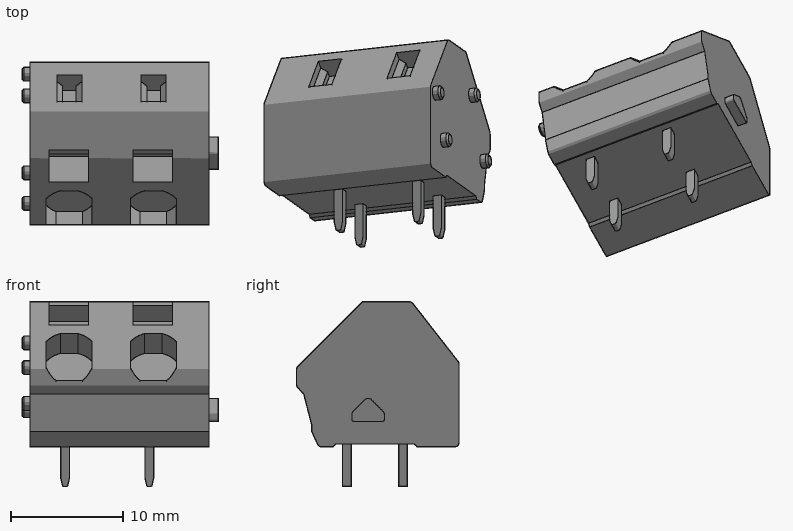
import cadquery as cq
import math


housing_length = 15.96
housing_depth = 14.5
housing_height = 12.95
pole_pitch = 7.5
pole_count = 2

roof_front_y = 5.89
roof_back_y = 10.25
roof_angle = math.radians(45)
back_slope_angle = math.radians(52)
nose_top_z = housing_height - roof_front_y * math.tan(roof_angle)
back_top_z = housing_height - (housing_depth - roof_back_y) * math.tan(back_slope_angle)
nose_bottom_z = 5.42
nose_undercut = (0.65, 4.70)
front_step_y = 1.36
front_step_top_z = 1.95
front_step_bottom_z = 1.38
front_foot_y = 1.99
recess_depth = 0.25
recess_front_y = 3.26
recess_back_y = 10.76
edge_radius = 0.5
foot_radius = 0.4
roof_front_radius = 0.2

tool_slot_x = 3.5
tool_slot_width = 4.1
tool_slot_length = 5.1
tool_slot_depth = 2.5
tool_slot_from_ridge = 4.04
tool_slot_end_radius = 2.4
tool_slot_upper_flat = 1.56
tool_slot_lower_flat = 2.38

window_x = 3.45
window_width = 3.5
window_lower_edge_y = 3.82
window_floor_start = (6.11, 9.53)
window_floor_rise = 1.66
window_wall_run = 1.43
window_lead_in = 0.32

wire_entry_x = 3.52
wire_entry_width = 2.22
wire_entry_length = 3.83
wire_entry_from_ridge = 1.2
wire_throat_width = 1.2
wire_mouth_depth = 0.74
wire_funnel_depth = 0.5
wire_entry_depth = 1.76

peg_diameter = 1.25
peg_height = 0.7
peg_chamfer = 0.17
peg_centres = [(1.91, 3.88), (4.64, 9.26), (11.50, 3.23), (13.43, 7.07)]

key_height = 0.84
key_centre_y = 6.39
key_width = 2.9
key_bottom_z = 2.26
key_shoulder_z = 3.05
key_bottom_radius = 0.2
key_roof_radius = 0.4

pin_size = 0.8
pin_x = 3.14
pin_rows_y = (4.5, 9.5)
pin_tip_z = -3.53
pin_taper_height = 0.76
pin_tip_width = 0.44
pin_tip_radius = 0.15

cut_clearance = 2.0


def pole_positions(first_x):
    return [first_x + pole * pole_pitch for pole in range(pole_count)]


def extrude_section(points, start_x, length):
    """Prism along +X with the given (Y, Z) outline."""
    return cq.Workplane("YZ", origin=(start_x, 0, 0)).polyline(points).close().extrude(length)


def round_edge(body, x, y, z, radius):
    """Fillet the edge along X whose midpoint lies nearest (x, y, z)."""
    return body.edges("|X").edges(cq.NearestToPointSelector((x, y, z))).fillet(radius)


def make_shell():
    section = [
        (roof_front_y, housing_height),
        (roof_back_y, housing_height),
        (housing_depth, back_top_z),
        (housing_depth, 0),
        (recess_back_y, 0),
        (recess_back_y - recess_depth, recess_depth),
        (recess_front_y + recess_depth, recess_depth),
        (recess_front_y, 0),
        (front_foot_y, 0),
        (front_step_y, front_step_bottom_z),
        (front_step_y, front_step_top_z),
        nose_undercut,
        (0, nose_bottom_z),
        (0, nose_top_z),
    ]
    rounded_corners = [
        (roof_front_y, housing_height, roof_front_radius),
        (roof_back_y, housing_height, edge_radius),
        (housing_depth, back_top_z, edge_radius),
        (housing_depth, 0, foot_radius),
        (front_foot_y, 0, foot_radius),
        (0, nose_bottom_z, foot_radius),
        (0, nose_top_z, edge_radius),
    ]
    shell = extrude_section(section, 0, housing_length)
    for y, z, radius in rounded_corners:
        shell = round_edge(shell, housing_length / 2, y, z, radius)
    return shell


def end_arc_height(half_flat):
    """Distance along a tool slot from its end flat to where the end arc meets the side."""
    half_width = tool_slot_width / 2
    flat_offset = math.sqrt(tool_slot_end_radius**2 - half_flat**2)
    side_offset = math.sqrt(tool_slot_end_radius**2 - half_width**2)
    return flat_offset - side_offset


def make_tool_slot(x):
    roof = cq.Plane(
        origin=(x, roof_front_y, housing_height),
        xDir=(1, 0, 0),
        normal=(0, -math.sin(roof_angle), math.cos(roof_angle)),
    )
    side = tool_slot_width / 2
    top = -tool_slot_from_ridge
    bottom = top - tool_slot_length
    upper_flat = tool_slot_upper_flat / 2
    lower_flat = tool_slot_lower_flat / 2
    upper_shoulder = top - end_arc_height(upper_flat)
    lower_shoulder = bottom + end_arc_height(lower_flat)
    radius = tool_slot_end_radius
    return (
        cq.Workplane(roof)
        .workplane(offset=-tool_slot_depth)
        .moveTo(side, lower_shoulder)
        .lineTo(side, upper_shoulder)
        .radiusArc((upper_flat, top), -radius)
        .lineTo(-upper_flat, top)
        .radiusArc((-side, upper_shoulder), -radius)
        .lineTo(-side, lower_shoulder)
        .radiusArc((-lower_flat, bottom), -radius)
        .lineTo(lower_flat, bottom)
        .radiusArc((side, lower_shoulder), -radius)
        .close()
        .extrude(tool_slot_depth + cut_clearance)
    )


def make_window(x):
    floor_y, floor_z = window_floor_start
    floor_end = (floor_y + window_floor_rise, floor_z + window_floor_rise)
    wall_top = (floor_end[0] - window_wall_run, floor_end[1] + window_wall_run)
    lead_in_top = (wall_top[0] + window_lead_in, wall_top[1] + window_lead_in)
    lower_edge = (window_lower_edge_y, nose_top_z + window_lower_edge_y * math.tan(roof_angle))
    section = [
        lower_edge,
        window_floor_start,
        floor_end,
        wall_top,
        lead_in_top,
        (lead_in_top[0], lead_in_top[1] + cut_clearance),
        (lower_edge[0], lead_in_top[1] + cut_clearance),
    ]
    return extrude_section(section, x - window_width / 2, window_width)


def make_wire_entry(x):
    slope_down = (0, math.cos(back_slope_angle), -math.sin(back_slope_angle))
    funnel_plane = cq.Plane(
        origin=(x, roof_back_y, housing_height), xDir=(1, 0, 0), normal=slope_down
    )
    mouth = wire_entry_width / 2
    throat = wire_throat_width / 2
    throat_depth = wire_mouth_depth + wire_funnel_depth
    right_side = [
        (mouth, -cut_clearance),
        (mouth, wire_mouth_depth),
        (throat, throat_depth),
        (throat, wire_entry_depth),
    ]
    left_side = [(-half_width, depth) for half_width, depth in reversed(right_side)]
    return (
        cq.Workplane(funnel_plane)
        .workplane(offset=wire_entry_from_ridge)
        .polyline(right_side + left_side)
        .close()
        .extrude(wire_entry_length)
    )


def make_pegs():
    return (
        cq.Workplane("YZ")
        .pushPoints(peg_centres)
        .circle(peg_diameter / 2)
        .extrude(-peg_height)
        .faces("<X")
        .chamfer(peg_chamfer)
    )


def make_key():
    """Gabled key with a 45 degree roof on either side of its crest."""
    half_width = key_width / 2
    front_y = key_centre_y - half_width
    back_y = key_centre_y + half_width
    rounded_corners = [
        (front_y, key_bottom_z, key_bottom_radius),
        (back_y, key_bottom_z, key_bottom_radius),
        (back_y, key_shoulder_z, key_roof_radius),
        (key_centre_y, key_shoulder_z + half_width, key_roof_radius),
        (front_y, key_shoulder_z, key_roof_radius),
    ]
    section = [(y, z) for y, z, _ in rounded_corners]
    key = extrude_section(section, housing_length, key_height)
    for y, z, radius in rounded_corners:
        key = round_edge(key, housing_length + key_height / 2, y, z, radius)
    return key


def make_housing():
    housing = make_shell()
    for x in pole_positions(tool_slot_x):
        housing = housing.cut(make_tool_slot(x))
    for x in pole_positions(window_x):
        housing = housing.cut(make_window(x))
    for x in pole_positions(wire_entry_x):
        housing = housing.cut(make_wire_entry(x))
    return housing.union(make_pegs()).union(make_key())


def make_pin(x, y):
    """Flat-sided pin standing below the recess, tapered in X towards its tip."""
    taper_top_z = pin_tip_z + pin_taper_height
    half_width = pin_size / 2
    half_tip = pin_tip_width / 2
    outline = [
        (-half_width, recess_depth),
        (half_width, recess_depth),
        (half_width, taper_top_z),
        (half_tip, pin_tip_z),
        (-half_tip, pin_tip_z),
        (-half_width, taper_top_z),
    ]
    return (
        cq.Workplane("XZ", origin=(x, y, 0))
        .polyline(outline)
        .close()
        .extrude(pin_size / 2, both=True)
        .faces("<Z")
        .edges("|Y")
        .fillet(pin_tip_radius)
    )


housing = make_housing()
pins = [make_pin(x, y) for x in pole_positions(pin_x) for y in pin_rows_y]

result = cq.Compound.makeCompound([housing.val(), *[pin.val() for pin in pins]])